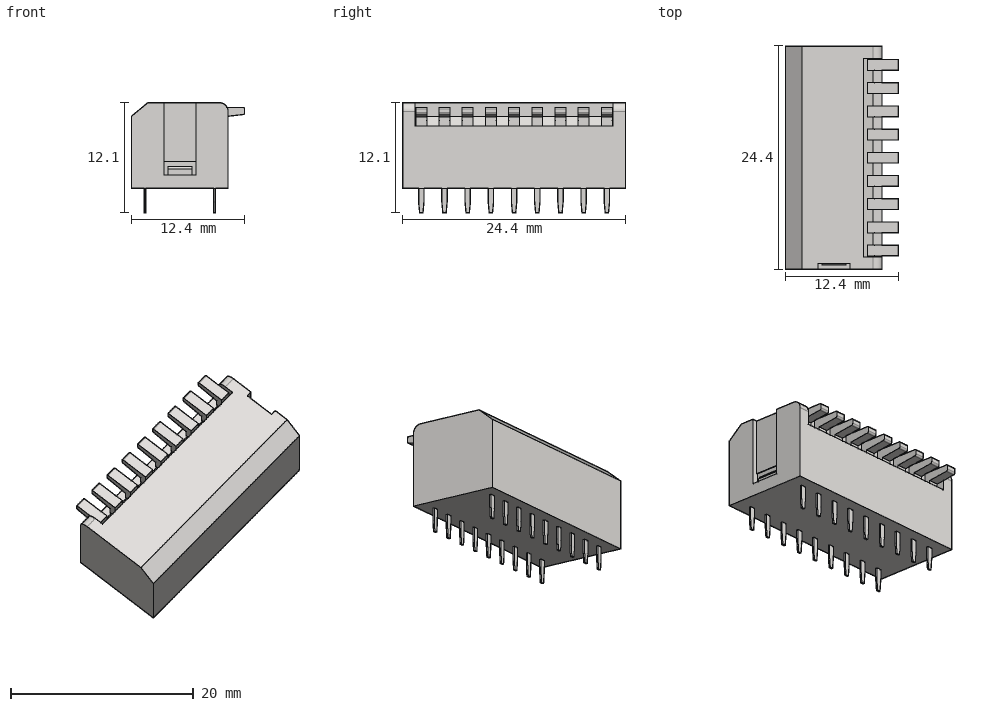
import cadquery as cq
import math

body_length = 24.42
body_width = 10.6
body_height = 9.4
chamfer_width = 1.8
chamfer_height = 1.5
top_edge_radius = 1.0

position_count = 9
pitch = 2.55

channel_length = 21.7
channel_width = 2.05
channel_depth = 2.56
channel_ledge_width = 1.0
channel_ramp_angle = 45.0

lever_width = 1.2
lever_top_drop = 0.54
lever_root_thickness = 0.98
lever_underside_angle = 6.5
lever_overhang = 1.8
lever_wall_gap = 0.46
stem_thickness = 0.73
tip_top_radius = 0.15
tip_bottom_radius = 0.22

pin_row_spacing = 7.62
pin_thickness = 0.2
pin_width = 0.6
pin_tip_width = 0.4
pin_length = 2.69
pin_straight_length = 1.47

recess_width = 3.52
recess_floor = 1.5
recess_depth = 0.6
undercut_top = 2.93
undercut_depth = 0.1
catch_width = 2.64
catch_projection = 0.15
catch_front_height = 0.6
catch_back_height = 0.93

embed = 0.25

body_side = body_width / 2
body_end = body_length / 2
channel_wall = body_side - channel_width
channel_floor = body_height - channel_depth
ramp_height = (channel_width - channel_ledge_width) * math.tan(math.radians(channel_ramp_angle))


def extrude_along_y(outline, length, centre_y=0.0):
    """Extrude an XZ outline by length, centred on centre_y."""
    return outline.extrude(length / 2, both=True).translate((0, centre_y, 0))


def make_housing():
    """Block with a chamfered -X top edge and a rounded +X top edge."""
    block = cq.Workplane("XY").box(body_width, body_length, body_height, centered=(True, True, False))
    block = block.edges(">X and >Z").fillet(top_edge_radius)
    corner = cq.Workplane("XZ").polyline([
        (-body_side, body_height - chamfer_height),
        (-body_side + chamfer_width, body_height),
        (-body_side, body_height),
    ]).close()
    return block.cut(extrude_along_y(corner, body_length))


def make_channel():
    """Cutter for the channel, whose floor ramps up towards the inner wall."""
    outline = cq.Workplane("XZ").polyline([
        (channel_wall, body_height),
        (channel_wall, channel_floor + ramp_height),
        (body_side - channel_ledge_width, channel_floor),
        (body_side, channel_floor),
        (body_side, body_height),
    ]).close()
    return extrude_along_y(outline, channel_length)


def make_lever(y):
    """Lever standing on the channel floor and reaching out past the +X face."""
    back = channel_wall + lever_wall_gap
    stem_front = back + stem_thickness
    tip = body_side + lever_overhang
    top = body_height - lever_top_drop
    underside_slope = math.tan(math.radians(lever_underside_angle))
    root_underside = top - lever_root_thickness
    stem_underside = root_underside - (body_side - stem_front) * underside_slope
    tip_underside = root_underside + lever_overhang * underside_slope
    outline = cq.Workplane("XZ").polyline([
        (back, top),
        (tip, top),
        (tip, tip_underside),
        (stem_front, stem_underside),
        (stem_front, channel_floor - embed),
        (back, channel_floor - embed),
    ]).close()
    lever = extrude_along_y(outline, lever_width, y)
    lever = lever.edges(">X and >Z").fillet(tip_top_radius)
    return lever.faces(">X").edges("<Z").fillet(tip_bottom_radius)


def make_pin(x, y):
    """Flat pin below the housing, tapering in width towards its tip."""
    outline = cq.Workplane("YZ").polyline([
        (-pin_width / 2, embed),
        (-pin_width / 2, -pin_straight_length),
        (-pin_tip_width / 2, -pin_length),
        (pin_tip_width / 2, -pin_length),
        (pin_width / 2, -pin_straight_length),
        (pin_width / 2, embed),
    ]).close()
    return outline.extrude(pin_thickness / 2, both=True).translate((x, y, 0))


def make_end_slot(bottom, top, depth):
    """Cutter as wide as the recess, sunk into the -Y face."""
    return (
        cq.Workplane("XY")
        .box(recess_width, depth, top - bottom, centered=(True, False, False))
        .translate((0, -body_end, bottom))
    )


def make_catch():
    """Catch with a sloped top, standing on the recess floor."""
    front = -body_end + recess_depth - catch_projection
    back = -body_end + recess_depth + undercut_depth
    outline = cq.Workplane("YZ").polyline([
        (front, recess_floor - embed),
        (front, recess_floor + catch_front_height),
        (back, recess_floor + catch_back_height),
        (back + embed, recess_floor + catch_back_height),
        (back + embed, recess_floor - embed),
    ]).close()
    return outline.extrude(catch_width / 2, both=True)


result = make_housing().cut(make_channel())
result = result.cut(make_end_slot(recess_floor, body_height, recess_depth))
result = result.cut(make_end_slot(recess_floor, undercut_top, recess_depth + undercut_depth))
result = result.union(make_catch())

for index in range(position_count):
    position_y = (index - (position_count - 1) / 2) * pitch
    result = result.union(make_lever(position_y))
    for pin_x in (-pin_row_spacing / 2, pin_row_spacing / 2):
        result = result.union(make_pin(pin_x, position_y))